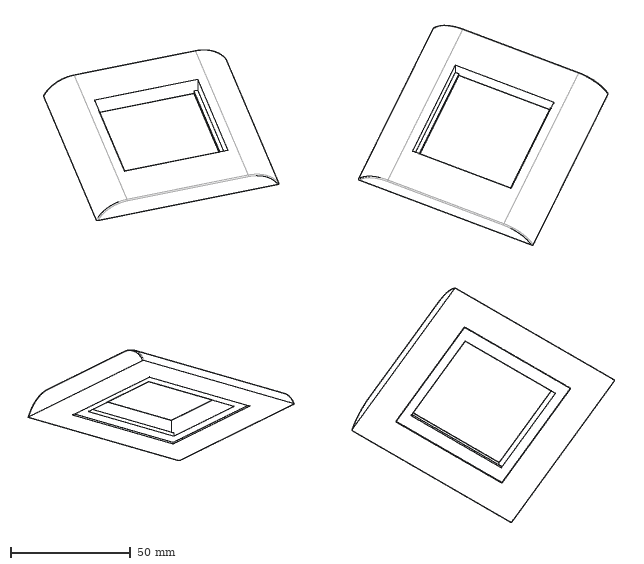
import cadquery as cq

side = 80.0
height = 8.5
flat_width = 53.0
end_rounding = 0.5
opening = 45.1
lip_width = 1.7
lip_top = 2.2
recess_depth = 0.7

half_side = side / 2
half_flat = flat_width / 2
flank_run = half_side - half_flat
flank_radius = (flank_run**2 + height**2) / (2 * height)


def flank_mid_point(sign):
    """Point of the flank arc halfway across its run."""
    run = flank_run / 2
    drop = flank_radius - (flank_radius**2 - run**2) ** 0.5
    return (sign * (half_flat + run), height - drop)


def make_body():
    """Domed profile extruded along X, with its curved end edges rounded."""
    body = (
        cq.Workplane("YZ")
        .moveTo(-half_side, 0)
        .lineTo(half_side, 0)
        .threePointArc(flank_mid_point(1), (half_flat, height))
        .lineTo(-half_flat, height)
        .threePointArc(flank_mid_point(-1), (-half_side, 0))
        .close()
        .extrude(half_side, both=True)
    )
    return body.faces("<X or >X").edges("not <Z").fillet(end_rounding)


def make_window():
    """Square window, narrowed along Y by a ledge near the base."""
    upper = (
        cq.Workplane("XY")
        .workplane(offset=lip_top)
        .rect(opening, opening)
        .extrude(height - lip_top)
    )
    lower = cq.Workplane("XY").rect(opening, opening - 2 * lip_width).extrude(lip_top)
    return upper.union(lower)


def make_recess():
    """Underside recess, as wide as the flat band of the top face."""
    return cq.Workplane("XY").rect(flat_width, flat_width).extrude(recess_depth)


result = make_body().cut(make_window()).cut(make_recess())